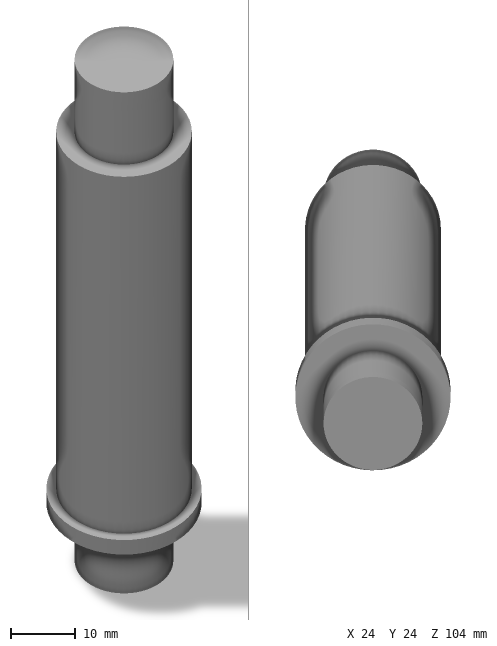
import cadquery as cq

total_height = 104.0
rod_diameter = 7.4
core_diameter = 15.3
sleeve_diameter = 21.0
flange_diameter = 24.0

bottom_cap_height = 2.1
top_cap_height = 3.8
flange_bottom = 12.0
flange_thickness = 3.0
sleeve_top = 89.0

flange_top = flange_bottom + flange_thickness
top_cap_bottom = total_height - top_cap_height


def cylinder(diameter, bottom, top):
    """Solid cylinder on the Z axis between two levels."""
    return cq.Workplane("XY").workplane(offset=bottom).circle(diameter / 2).extrude(top - bottom)


def ring(outer_diameter, inner_diameter, bottom, top):
    """Cylinder with a concentric through bore."""
    return cylinder(outer_diameter, bottom, top).cut(cylinder(inner_diameter, bottom, top))


rod = cylinder(rod_diameter, 0, total_height)

bottom_cap = ring(core_diameter, rod_diameter, 0, bottom_cap_height)
core_tube = ring(core_diameter, rod_diameter, bottom_cap_height, top_cap_bottom)
top_cap = ring(core_diameter, rod_diameter, top_cap_bottom, total_height)

flange = ring(flange_diameter, core_diameter, flange_bottom, flange_top)
sleeve = ring(sleeve_diameter, core_diameter, flange_top, sleeve_top)

result = cq.Compound.makeCompound([
    rod.val(),
    bottom_cap.val(),
    core_tube.val(),
    top_cap.val(),
    flange.val(),
    sleeve.val(),
])